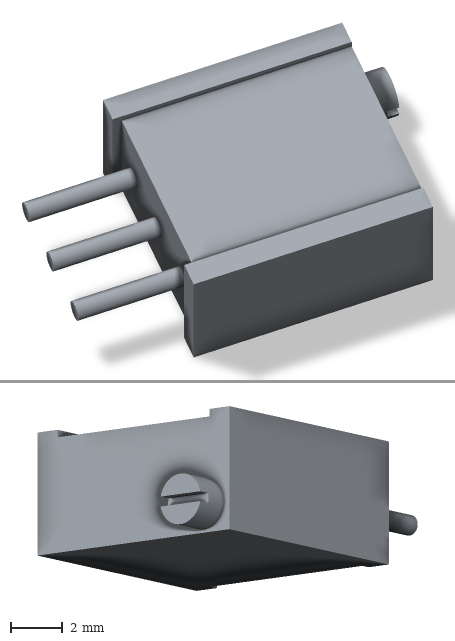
import cadquery as cq

width = 9.5
plate_thickness = 1.0
plate_length = 10.0
plate_height = 4.85

body_front_recess = 0.39
body_top_recess = 0.3

pin_diameter = 0.81
pin_pitch = 2.55
pin_height = 2.35
pin_reach = 4.1

screw_diameter = 2.0
screw_reach = 1.5
screw_inset = 1.25
screw_height = 1.12
slot_width = 0.39
slot_depth = 0.5

body_length = plate_length - body_front_recess
body_width = width - 2 * plate_thickness
screw_x = screw_inset - width / 2
screw_end = plate_length + screw_reach


def block(size_x, size_y, size_z, x, y, z):
    """Box centred on x, starting at y and z."""
    return cq.Workplane("XY").box(size_x, size_y, size_z, centered=(True, False, False)).translate((x, y, z))


def rod(diameter, x, z, y_start, y_end):
    """Round bar along Y between two positions."""
    axis = cq.Vector(0, 1, 0)
    return cq.Workplane(cq.Solid.makeCylinder(diameter / 2, y_end - y_start, cq.Vector(x, y_start, z), axis))


def make_housing():
    housing = block(body_width, body_length, plate_height - body_top_recess, 0, body_front_recess, 0)
    for side in (-1, 1):
        plate_x = side * (width - plate_thickness) / 2
        housing = housing.union(block(plate_thickness, plate_length, plate_height, plate_x, 0, 0))
    return housing


def make_screw():
    head = rod(screw_diameter, screw_x, screw_height, plate_length, screw_end)
    slot = block(
        screw_diameter, slot_depth, slot_width,
        screw_x, screw_end - slot_depth, screw_height - slot_width / 2,
    )
    return head.cut(slot)


result = make_housing().union(make_screw())
for position in (-1, 0, 1):
    result = result.union(rod(pin_diameter, position * pin_pitch, pin_height, -pin_reach, body_front_recess))